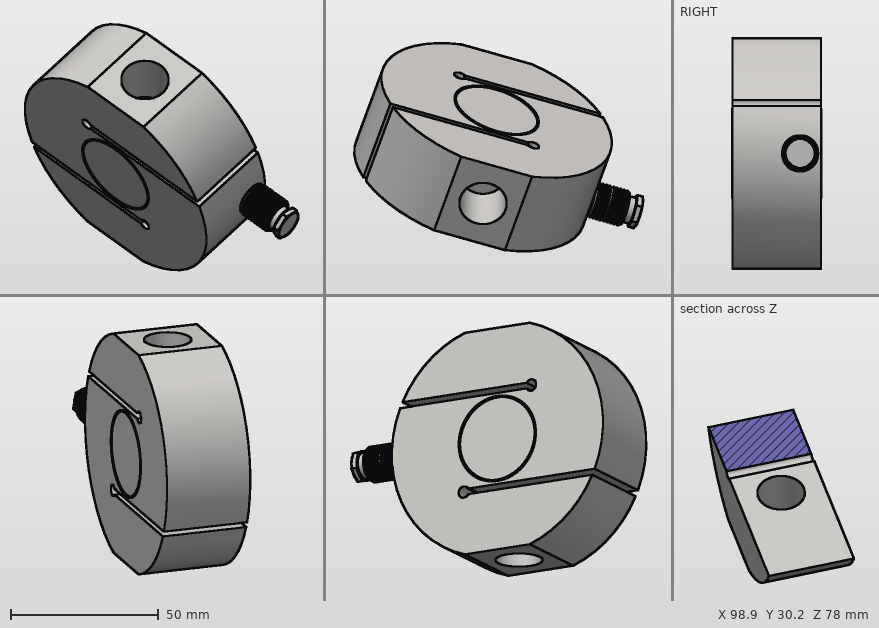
import cadquery as cq

body_diameter = 82.0
body_height = 78.0
body_thickness = 30.2
body_radius = body_diameter / 2

rim_outer_diameter = 30.0
rim_inner_diameter = 29.0
rim_height = 0.1
cover_drop = 0.2
face_thickness = body_thickness - 2 * rim_height
cover_thickness = body_thickness - 2 * cover_drop

slot_height = 2.0
slot_offset = 17.0
relief_offset = 13.1
relief_diameter = 4.0

loading_hole_diameter = 16.0
loading_hole_depth = body_height / 2 - slot_offset

overall_length = 98.9
gland_y = 7.9
gland_length = overall_length - body_diameter
collar_length = 12.1
collar_lead_in = 1.0
collar_end_radius = 5.4
crest_radius = 6.1
shoulder_radius = 5.8
root_radius = 5.7
ridge_pitch = 1.2
shoulder_offset = ridge_pitch / 4
inner_ridge_count = 4
outer_ridge_count = 5
plain_band_length = 0.9
neck_radius = 4.5
hex_corner_radius = 5.6
hex_length = 2.0
hex_turn = 20.4
washer_thickness = 0.2
inner_washer_radius = 5.1
outer_washer_radius = 4.9
neck_length = gland_length - collar_length - hex_length - 2 * washer_thickness


def y_cylinder(diameter, length, x=0, z=0):
    """Cylinder along Y, centred on Y = 0."""
    return cq.Workplane("XZ").center(x, z).circle(diameter / 2).extrude(length / 2, both=True)


def slot_cutter(side):
    """Slot above (side = 1) or below (side = -1) the centre, open on that same side in X."""
    relief_x = -side * relief_offset
    slot_z = side * slot_offset
    length = body_radius + relief_offset
    slot = cq.Workplane("XY").box(length, body_thickness, slot_height)
    slot = slot.translate((relief_x + side * length / 2, 0, slot_z))
    return slot.union(y_cylinder(relief_diameter, body_thickness, relief_x, slot_z))


def loading_hole(side):
    """Cutter for the hole in the top (side = 1) or bottom (side = -1) flat."""
    return (
        cq.Workplane("XY", origin=(0, 0, side * body_height / 2))
        .circle(loading_hole_diameter / 2)
        .extrude(-side * loading_hole_depth)
    )


def make_body():
    body = y_cylinder(body_diameter, face_thickness)
    body = body.intersect(cq.Workplane("XY").box(body_diameter, body_thickness, body_height))
    body = body.union(y_cylinder(rim_outer_diameter, body_thickness))
    body = body.cut(y_cylinder(rim_inner_diameter, body_thickness))
    body = body.union(y_cylinder(rim_inner_diameter, cover_thickness))
    for side in (1, -1):
        body = body.cut(slot_cutter(side)).cut(loading_hole(side))
    return body


def revolve_profile(points):
    """Turn a profile of (distance along the gland, radius) points about the X axis."""
    return cq.Workplane("XY").polyline(points).close().revolve(360, (0, 0, 0), (1, 0, 0))


def ridge_points(start, count):
    """A run of ridges: each rises from shoulder to sharp crest, with a V root between neighbours."""
    points = []
    for i in range(count):
        crest_x = start + shoulder_offset + i * ridge_pitch
        if i > 0:
            points.append((crest_x - ridge_pitch / 2, root_radius))
        points.append((crest_x - shoulder_offset, shoulder_radius))
        points.append((crest_x, crest_radius))
        points.append((crest_x + shoulder_offset, shoulder_radius))
    return points


def collar_and_neck():
    """Ridged collar in two runs of ridges with a plain band between, then the neck."""
    inner_run = ridge_points(collar_lead_in, inner_ridge_count)
    inner_run_end = inner_run[-1][0]
    outer_run = ridge_points(inner_run_end + plain_band_length, outer_ridge_count)
    outer_run_end = outer_run[-1][0]
    neck_end = collar_length + neck_length
    return revolve_profile([
        (0, 0),
        (0, shoulder_radius),
        *inner_run,
        *outer_run,
        (outer_run_end + shoulder_offset, root_radius),
        (collar_length, collar_end_radius),
        (collar_length, neck_radius),
        (neck_end, neck_radius),
        (neck_end, 0),
    ])


def x_disc(start, radius, thickness):
    """Disc about the X axis, growing from start toward +X."""
    return cq.Workplane("YZ", origin=(start, 0, 0)).circle(radius).extrude(thickness)


def hex_head():
    """Hexagonal head with a thin round washer face at each end."""
    head_start = collar_length + neck_length
    hex_start = head_start + washer_thickness
    prism = (
        cq.Workplane("YZ", origin=(hex_start, 0, 0))
        .polygon(6, 2 * hex_corner_radius)
        .extrude(hex_length)
        .rotate((0, 0, 0), (1, 0, 0), -hex_turn)
    )
    inner_washer = x_disc(head_start, inner_washer_radius, washer_thickness)
    outer_washer = x_disc(hex_start + hex_length, outer_washer_radius, washer_thickness)
    return prism.union(inner_washer).union(outer_washer)


def make_gland():
    gland = collar_and_neck().union(hex_head())
    return gland.translate((body_radius, gland_y, 0))


body = make_body()
gland = make_gland()
result = cq.Compound.makeCompound([body.solids().val(), gland.solids().val()])